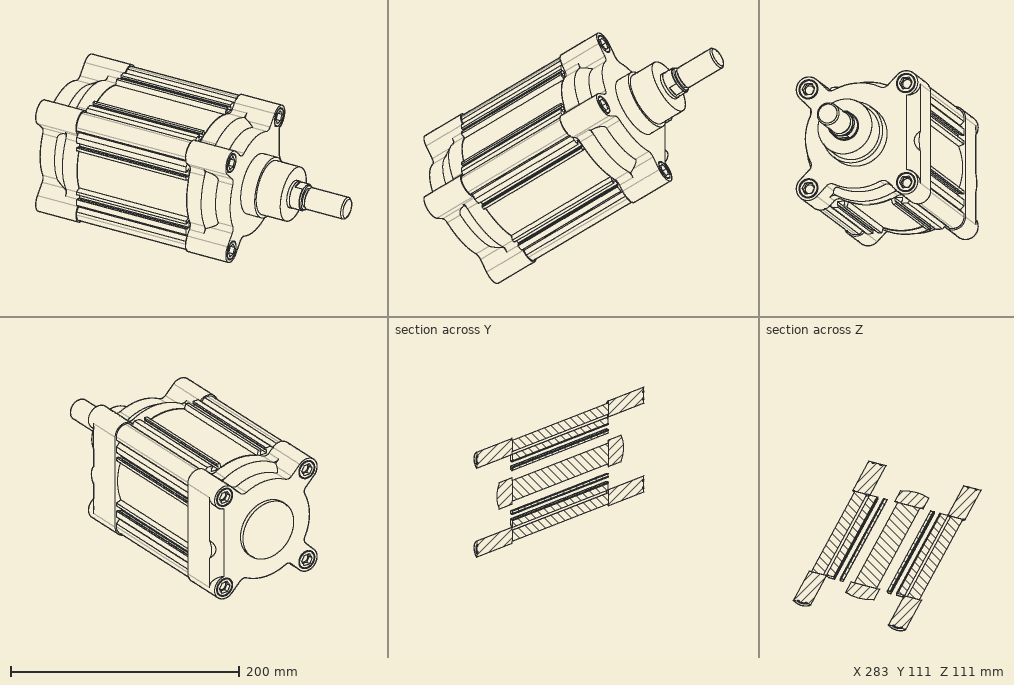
import cadquery as cq
import math

total_length = 283.0
outer_half = 55.5
cap_post_radius = 11.0
post_offset = outer_half - cap_post_radius

rear_boss_length = 3.7
centring_radius = 27.5
cap_length = 40.0
neck_depth = 14.5
rim_depth = 25.5
neck_radius = 47.3
rim_radius = 53.5
notch_fillet = 5.7
port_slope_inset = 10.2
port_slope_depth = 7.5
port_pad_radius = 13.0
port_pad_depth = 17.3
port_pad_z = -6.8

head_radius = 8.0
head_gap = 0.5
head_gap_depth = 1.5
hex_flats = 10.0
hex_depth = 4.2
drill_point_radius = 4.0
drill_point_depth = 2.3

barrel_length = 108.5
barrel_half = 54.0
barrel_radius = 53.0
channel_outer_half = 21.0
channel_inner_half = 19.2
channel_depth = 4.8
slot_centre = 26.3
slot_mouth_width = 5.0
slot_width = 6.8
slot_lip = 2.3
slot_depth = 5.5
groove_centre = 38.0
groove_depth = 3.5

collar_length = 14.0
nose_radius = 24.5
nose_length = 23.8

rod_radius = 12.5
rod_head_start = 232.0
rod_head_radius = 12.2
flat_half = 11.0
flat_start = 234.0
rod_head_end = 241.5
shoulder_end = 243.0
shoulder_radius = 11.0
undercut_radius = 8.5
undercut_end = 245.6
thread_radius = 10.0
thread_chamfer = 1.5

rear_face = rear_boss_length
barrel_start = rear_face + cap_length
barrel_end = barrel_start + barrel_length
front_face = barrel_end + cap_length
nose_start = front_face + collar_length
nose_end = nose_start + nose_length
corners = [(sy * post_offset, sz * post_offset) for sy in (-1, 1) for sz in (-1, 1)]


def cross_section(x):
    """Sketch plane across the axis at x: local x is Y and local y is Z."""
    return cq.Workplane("YZ", origin=(x, 0, 0))


def rod_section(x_start, x_end, radius):
    return cross_section(x_start).circle(radius).extrude(x_end - x_start)


def star_body(radius, x_start, x_end):
    """Round body with four diagonal arms ending in corner posts, filleted where arms leave the body."""
    length = x_end - x_start
    body = rod_section(x_start, x_end, radius)
    arm_length = 2 * math.sqrt(2) * post_offset
    for angle in (45, 135):
        arm = cross_section(x_start).rect(arm_length, 2 * cap_post_radius).extrude(length)
        body = body.union(arm.rotate((0, 0, 0), (1, 0, 0), angle))
    root = math.sqrt(radius**2 - cap_post_radius**2)
    near = (root + cap_post_radius) / math.sqrt(2)
    far = (root - cap_post_radius) / math.sqrt(2)
    middle = (x_start + x_end) / 2
    for y, z in ((near, far), (far, near)):
        for sy in (-1, 1):
            for sz in (-1, 1):
                edge = cq.selectors.NearestToPointSelector((middle, sy * y, sz * z))
                body = body.edges("|X").edges(edge).fillet(notch_fillet)
    posts = cross_section(x_start).pushPoints(corners).circle(cap_post_radius).extrude(length)
    return body.union(posts)


def cap_core():
    """Neck and corner posts over the whole length, with a cone widening to the rim."""
    core = star_body(neck_radius, 0, cap_length)
    envelope = (
        cq.Workplane("XY")
        .moveTo(neck_depth, 0)
        .lineTo(neck_depth, neck_radius)
        .lineTo(rim_depth, rim_radius)
        .lineTo(rim_depth, 2 * outer_half)
        .lineTo(cap_length, 2 * outer_half)
        .lineTo(cap_length, 0)
        .close()
        .revolve(360, (0, 0, 0), (1, 0, 0))
    )
    rim = star_body(rim_radius, neck_depth, cap_length).intersect(envelope)
    return core.union(rim)


def port_wall():
    """Flat wall filling the +Y side between the corner posts."""
    inner = post_offset - cap_post_radius
    return cq.Workplane("XY").box(
        cap_length, outer_half - inner, 2 * post_offset, centered=(False, False, True)
    ).translate((0, inner, 0))


def port_slope_cut():
    """Wedge that slopes the outer end of the +Y side and leaves the corner posts whole."""
    wedge = (
        cq.Workplane("XY", origin=(0, 0, -post_offset))
        .moveTo(0, outer_half - port_slope_inset)
        .lineTo(port_slope_depth, outer_half)
        .lineTo(0, outer_half)
        .close()
        .extrude(2 * post_offset)
    )
    posts = cross_section(0).pushPoints(corners).circle(cap_post_radius).extrude(cap_length)
    return wedge.cut(posts)


def port_pad():
    """Round pad that stands out of the slope and ends flush with the +Y side."""
    return (
        cq.Workplane("XZ", origin=(port_pad_depth, outer_half, port_pad_z))
        .circle(port_pad_radius)
        .extrude(port_slope_inset)
    )


def screw_heads_cut():
    """Gap around each flush screw head and its hexagon socket with a drill point."""
    gaps = (
        cross_section(0)
        .pushPoints(corners)
        .circle(head_radius + head_gap)
        .circle(head_radius)
        .extrude(head_gap_depth)
    )
    hex_corners = hex_flats / math.cos(math.pi / 6)
    sockets = cross_section(0).pushPoints(corners).polygon(6, hex_corners).extrude(hex_depth)
    cuts = gaps.union(sockets)
    for y, z in corners:
        point = cq.Solid.makeCone(
            drill_point_radius, 0, drill_point_depth, cq.Vector(hex_depth, y, z), cq.Vector(1, 0, 0)
        )
        cuts = cuts.union(cq.Workplane(point))
    return cuts


def end_cap():
    """End cap with its outer face at x = 0 and the barrel side at x = cap_length."""
    cap = cap_core().union(port_wall()).cut(port_slope_cut()).union(port_pad())
    return cap.cut(screw_heads_cut())


def make_rear_cap():
    boss = rod_section(0, rear_face, centring_radius)
    return end_cap().translate((rear_face, 0, 0)).union(boss)


def make_front_cap():
    cap = end_cap().mirror("YZ").translate((front_face, 0, 0))
    collar = rod_section(front_face, nose_start, centring_radius)
    nose = rod_section(nose_start, nose_end, nose_radius)
    rod_bore = rod_section(barrel_end, nose_end, rod_radius)
    return cap.union(collar).union(nose).cut(rod_bore)


def barrel_prism(points):
    return cross_section(barrel_start).polyline(points).close().extrude(barrel_length)


def barrel_box(centre_y, low, high, width):
    """Rectangular prism along the barrel, centred on centre_y and between two heights in Z."""
    left = centre_y - width / 2
    right = centre_y + width / 2
    return barrel_prism([(left, low), (right, low), (right, high), (left, high)])


def side_channel():
    """Wide opening in the top side between the two slot lips."""
    floor = barrel_half - channel_depth
    return barrel_prism([
        (-channel_outer_half, barrel_half),
        (-channel_inner_half, floor),
        (channel_inner_half, floor),
        (channel_outer_half, barrel_half),
    ])


def side_slots():
    """Two T-slots and two V-grooves of the top side."""
    floor = barrel_half - slot_depth
    lip = barrel_half - slot_lip
    cuts = cq.Workplane("YZ")
    for side in (-1, 1):
        groove_y = side * groove_centre
        cuts = cuts.union(barrel_box(side * slot_centre, floor, lip, slot_width))
        cuts = cuts.union(barrel_box(side * slot_centre, floor, barrel_half, slot_mouth_width))
        cuts = cuts.union(barrel_prism([
            (groove_y - groove_depth, barrel_half),
            (groove_y, barrel_half - groove_depth),
            (groove_y + groove_depth, barrel_half),
        ]))
    return cuts


def make_barrel():
    frame = cross_section(barrel_start).rect(2 * barrel_half, 2 * barrel_half).extrude(barrel_length)
    frame = frame.edges("|X").fillet(barrel_half - post_offset)
    quarter_turns = (0, 90, 180, 270)
    for angle in quarter_turns:
        frame = frame.cut(side_channel().rotate((0, 0, 0), (1, 0, 0), angle))
    barrel = frame.union(rod_section(barrel_start, barrel_end, barrel_radius))
    for angle in quarter_turns:
        barrel = barrel.cut(side_slots().rotate((0, 0, 0), (1, 0, 0), angle))
    return barrel


def make_piston_rod():
    rod = rod_section(barrel_end, rod_head_start, rod_radius)
    rod = rod.union(rod_section(rod_head_start, rod_head_end, rod_head_radius))
    flat_length = rod_head_end - flat_start
    flat_height = rod_head_radius - flat_half
    for side in (-1, 1):
        flat = cq.Workplane("XY").box(flat_length, 2 * rod_head_radius, flat_height)
        flat_z = side * (flat_half + flat_height / 2)
        rod = rod.cut(flat.translate(((flat_start + rod_head_end) / 2, 0, flat_z)))
    rod = rod.union(rod_section(rod_head_end, shoulder_end, shoulder_radius))
    rod = rod.union(rod_section(shoulder_end, undercut_end, undercut_radius))
    thread = rod_section(undercut_end, total_length, thread_radius).faces(">X").chamfer(thread_chamfer)
    return rod.union(thread)


rear_cap = make_rear_cap()
barrel = make_barrel()
front_cap = make_front_cap()
piston_rod = make_piston_rod()

result = cq.Compound.makeCompound([
    rear_cap.val(),
    barrel.val(),
    front_cap.val(),
    piston_rod.val(),
])